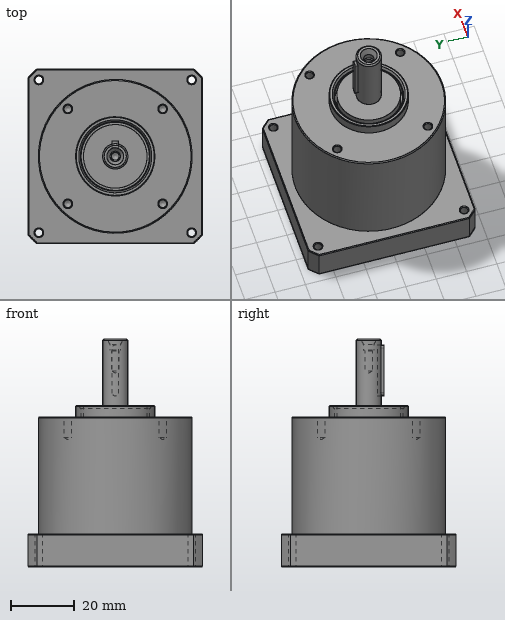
import cadquery as cq
import math

total_height = 71.8
flange_top = 10.35
barrel_top = 47.25
pilot_top = 50.75

flange_side = 55.0
corner_diameter = 73.95
flange_top_bevel = 0.3
flange_bottom_bevel = 0.2

barrel_diameter = 48.5
barrel_chamfer = 0.35
pilot_diameter = 25.0
pilot_chamfer = 0.2
shaft_diameter = 8.0
shaft_chamfer = 0.5

groove_inner_diameter = 20.0
groove_outer_diameter = 21.5
groove_ledge_diameter = 22.0
groove_mouth_diameter = 23.0
groove_depth = 3.6
groove_taper_depth = 0.85

screw_diameter = 2.45
screw_mouth_diameter = 3.0
flange_hole_offset = 24.05
barrel_hole_offset = 14.9
barrel_hole_depth = 6.45
drill_point_angle = 118.0

centre_mouth_diameter = 5.3
centre_bore_diameter = 3.2
centre_drill_diameter = 2.45
centre_cone_angle = 60.0
centre_bore_depth = 3.6
centre_hole_depth = 10.05

key_width = 2.0
key_height = 2.0
key_length = 16.0
key_bottom = 53.85
key_outer_face = 4.8


def cone_length(large_diameter, small_diameter, angle):
    """Axial length of a cone between two diameters with the given full angle."""
    return (large_diameter - small_diameter) / 2 / math.tan(math.radians(angle / 2))


def turned(profile):
    """Revolve a (radius, z) profile about the Z axis."""
    return cq.Workplane("XZ").polyline(profile).close().revolve(360, (0, 0), (0, 1))


def cylinder(diameter, bottom, top):
    return cq.Workplane("XY").workplane(offset=bottom).circle(diameter / 2).extrude(top - bottom)


def square_corners(offset):
    """Centres of four features at the corners of a square about the axis."""
    return [(x, y) for x in (-offset, offset) for y in (-offset, offset)]


def make_flange():
    plate = cq.Workplane("XY").rect(flange_side, flange_side).extrude(flange_top)
    plate = plate.intersect(cylinder(corner_diameter, 0, flange_top))
    plate = plate.faces(">Z").chamfer(flange_top_bevel)
    return plate.faces("<Z").chamfer(flange_bottom_bevel)


def make_groove():
    """Ring groove with a tapered mouth above a narrow ledge."""
    floor = pilot_top - groove_depth
    ledge = pilot_top - groove_taper_depth
    return turned([
        (groove_inner_diameter / 2, floor),
        (groove_outer_diameter / 2, floor),
        (groove_outer_diameter / 2, ledge),
        (groove_ledge_diameter / 2, ledge),
        (groove_mouth_diameter / 2, pilot_top),
        (groove_inner_diameter / 2, pilot_top),
    ])


def make_centre_hole():
    cone_bottom = total_height - cone_length(centre_mouth_diameter, centre_bore_diameter, centre_cone_angle)
    bore_bottom = total_height - centre_bore_depth
    step_bottom = bore_bottom - cone_length(centre_bore_diameter, centre_drill_diameter, drill_point_angle)
    drill_bottom = total_height - centre_hole_depth
    tip = drill_bottom - cone_length(centre_drill_diameter, 0, drill_point_angle)
    return turned([
        (0, total_height),
        (centre_mouth_diameter / 2, total_height),
        (centre_bore_diameter / 2, cone_bottom),
        (centre_bore_diameter / 2, bore_bottom),
        (centre_drill_diameter / 2, step_bottom),
        (centre_drill_diameter / 2, drill_bottom),
        (0, tip),
    ])


def make_barrel_hole():
    """Blind screw hole with a countersunk mouth and a drill-point bottom."""
    mouth_chamfer = (screw_mouth_diameter - screw_diameter) / 2
    bottom = barrel_top - barrel_hole_depth
    return turned([
        (0, barrel_top),
        (screw_mouth_diameter / 2, barrel_top),
        (screw_diameter / 2, barrel_top - mouth_chamfer),
        (screw_diameter / 2, bottom),
        (0, bottom - cone_length(screw_diameter, 0, drill_point_angle)),
    ])


def make_flange_hole():
    """Through screw hole with a countersunk mouth on the top face."""
    mouth_chamfer = (screw_mouth_diameter - screw_diameter) / 2
    return turned([
        (0, flange_top),
        (screw_mouth_diameter / 2, flange_top),
        (screw_diameter / 2, flange_top - mouth_chamfer),
        (screw_diameter / 2, 0),
        (0, 0),
    ])


def make_key():
    inner_face = key_outer_face - key_height
    return (
        cq.Workplane("XZ", origin=(0, inner_face, key_bottom + key_length / 2))
        .slot2D(key_length, key_width, 90)
        .extrude(-key_height)
    )


def make_gearbox(key):
    barrel = cylinder(barrel_diameter, flange_top, barrel_top).faces(">Z").chamfer(barrel_chamfer)
    pilot = cylinder(pilot_diameter, barrel_top, pilot_top).faces(">Z").chamfer(pilot_chamfer)
    shaft = cylinder(shaft_diameter, pilot_top, total_height).faces(">Z").chamfer(shaft_chamfer)
    body = make_flange().union(barrel).union(pilot).union(shaft)
    body = body.cut(make_groove()).cut(make_centre_hole())
    for x, y in square_corners(flange_hole_offset):
        body = body.cut(make_flange_hole().translate((x, y, 0)))
    for x, y in square_corners(barrel_hole_offset):
        body = body.cut(make_barrel_hole().translate((x, y, 0)))
    return body.cut(key)


key = make_key()
gearbox = make_gearbox(key)

result = cq.Compound.makeCompound([gearbox.solids().val(), key.val()])